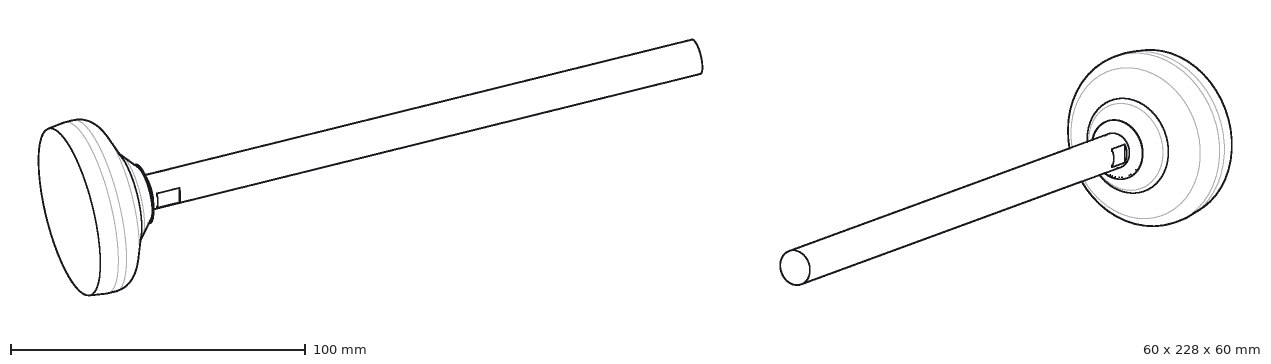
import cadquery as cq
import math

total_length = 228.0
foot_radius = 29.98

underside_radius = 29.2
draft_height = 6.2
rim_top = 9.1
shoulder_radius = 6.8
shoulder_angle = math.radians(64)
neck_base_radius = 16.5
neck_step_radius = 15.0
neck_step_height = 21.5
foot_top_radius = 9.5
foot_top_height = 26.5

rod_radius = 6.05
collar_radius = 10.3
collar_edge = 0.2
collar_top_height = 28.3

flats_across = 10.3
flats_start = 29.9
flats_length = 8.2

underside_y = -total_length / 2


def shoulder_point(angle):
    """Point on the rounded shoulder, with the angle measured from the rim."""
    return (
        foot_radius - shoulder_radius * (1 - math.cos(angle)),
        rim_top + shoulder_radius * math.sin(angle),
    )


def revolve_about_axis(profile):
    """Turn a closed (radius, height) profile into a solid around the Y axis."""
    return profile.close().revolve(360, (0, 0, 0), (0, 1, 0)).translate((0, underside_y, 0))


def make_foot():
    """Flared foot with a drafted rim, a rounded shoulder and a conical neck."""
    shoulder_end = shoulder_point(shoulder_angle)
    flare_rise = (shoulder_end[0] - neck_base_radius) / math.tan(shoulder_angle)
    profile = (
        cq.Workplane("XY")
        .lineTo(underside_radius, 0)
        .lineTo(foot_radius, draft_height)
        .lineTo(foot_radius, rim_top)
        .threePointArc(shoulder_point(shoulder_angle / 2), shoulder_end)
        .lineTo(neck_base_radius, shoulder_end[1] + flare_rise)
        .lineTo(neck_step_radius, neck_step_height)
        .lineTo(foot_top_radius, foot_top_height)
        .lineTo(0, foot_top_height)
    )
    return revolve_about_axis(profile)


def cut_wrench_flats(stud):
    """Cut one flat on each side of the rod."""
    cut_depth = rod_radius - flats_across / 2
    for side in (-1, 1):
        cutter = cq.Workplane("XY").box(cut_depth, flats_length, 2 * rod_radius).translate((
            side * (flats_across + cut_depth) / 2,
            underside_y + flats_start + flats_length / 2,
            0,
        ))
        stud = stud.cut(cutter)
    return stud


def make_stud():
    """Rod and collar, resting on top of the foot."""
    profile = (
        cq.Workplane("XY")
        .moveTo(0, foot_top_height)
        .lineTo(collar_radius, foot_top_height)
        .lineTo(collar_radius, foot_top_height + collar_edge)
        .lineTo(rod_radius, collar_top_height)
        .lineTo(rod_radius, total_length)
        .lineTo(0, total_length)
    )
    return cut_wrench_flats(revolve_about_axis(profile))


foot = make_foot()
stud = make_stud()
result = cq.Compound.makeCompound([foot.val(), stud.val()])